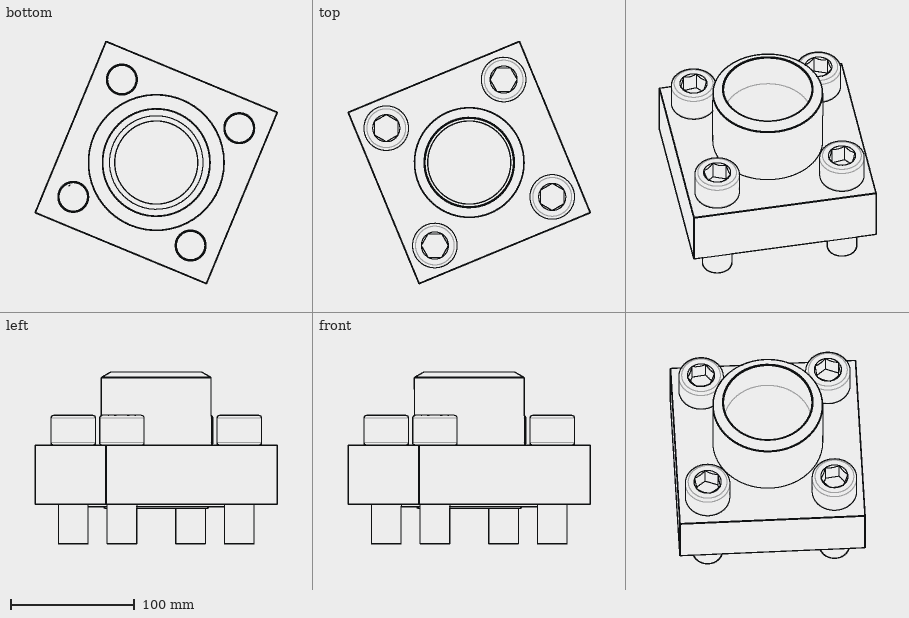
import cadquery as cq
import math

OVERALL_WIDTH = 195.6
TURN_ANGLE = 22.5
QUARTER_TURN = 90.0

PLATE_THICKNESS = 48.0
EDGE_CHAMFER = 0.5
TURN = math.radians(TURN_ANGLE)
PLATE_SIDE = (OVERALL_WIDTH + 2 * EDGE_CHAMFER * math.sin(TURN)) / (math.cos(TURN) + math.sin(TURN))

NECK_DIAMETER = 88.8
NECK_HEIGHT = 59.0
BEVEL_TOP_DIAMETER = 73.2
BEVEL_ANGLE = 30.0
BEVEL_HEIGHT = (NECK_DIAMETER - BEVEL_TOP_DIAMETER) / 2 * math.tan(math.radians(BEVEL_ANGLE))

BORE_TOP_DIAMETER = 71.2
BORE_BOTTOM_DIAMETER = 67.0
STRAIGHT_BORE_DEPTH = 30.0

FACE_DIAMETER = 110.0
FACE_HEIGHT = 2.2

RING_SECTION = 5.3
RING_INNER_DIAMETER = 75.5
RING_PROTRUSION = 1.2
GROOVE_OUTER_DIAMETER = 87.3
GROOVE_DEPTH = RING_SECTION - RING_PROTRUSION

SCREW_COUNT = 4
SCREW_CIRCLE_DIAMETER = 145.0
FIRST_SCREW_ANGLE = TURN_ANGLE + QUARTER_TURN / 2
SCREW_DIAMETER = 24.0
SCREW_HOLE_DIAMETER = 25.0
SCREW_LENGTH = 80.0
TIP_CHAMFER = 0.5
HEAD_DIAMETER = 36.0
HEAD_HEIGHT = 24.0
HEAD_TOP_FILLET = 2.3
HEAD_FOOT_FILLET = 2.0
SOCKET_SIDES = 6
SOCKET_CORNER_DIAMETER = 22.0
SOCKET_DEPTH = 15.7
SOCKET_LEAD_ANGLE = 45.0

FACE_Z = -FACE_HEIGHT
NECK_TOP_Z = PLATE_THICKNESS + NECK_HEIGHT


def disc(diameter, bottom, height):
    """Upright cylinder on the Z axis."""
    return cq.Workplane("XY", origin=(0, 0, bottom)).circle(diameter / 2).extrude(height)


def revolve_profile(points):
    """Turn a closed (radius, Z) outline about the Z axis."""
    return cq.Workplane("XZ").polyline(points).close().revolve(360, (0, 0), (0, 1))


def screw_place(index):
    """Angle in degrees and the X, Y of one screw axis."""
    angle = FIRST_SCREW_ANGLE + index * QUARTER_TURN
    radius = SCREW_CIRCLE_DIAMETER / 2
    x = radius * math.cos(math.radians(angle))
    y = radius * math.sin(math.radians(angle))
    return angle, x, y


def make_plate():
    plate = cq.Workplane("XY").rect(PLATE_SIDE, PLATE_SIDE).extrude(PLATE_THICKNESS)
    return plate.edges().chamfer(EDGE_CHAMFER).rotate((0, 0, 0), (0, 0, 1), TURN_ANGLE)


def make_neck():
    neck_radius = NECK_DIAMETER / 2
    neck = revolve_profile([
        (0, 0),
        (neck_radius, 0),
        (neck_radius, NECK_TOP_Z - BEVEL_HEIGHT),
        (BEVEL_TOP_DIAMETER / 2, NECK_TOP_Z),
        (0, NECK_TOP_Z),
    ])
    bevel_foot = neck.edges(cq.selectors.RadiusNthSelector(-1)).edges(">Z")
    return bevel_foot.chamfer(EDGE_CHAMFER)


def make_bore():
    return revolve_profile([
        (0, FACE_Z),
        (BORE_BOTTOM_DIAMETER / 2, FACE_Z),
        (BORE_TOP_DIAMETER / 2, NECK_TOP_Z - STRAIGHT_BORE_DEPTH),
        (BORE_TOP_DIAMETER / 2, NECK_TOP_Z - EDGE_CHAMFER),
        (BORE_TOP_DIAMETER / 2 + EDGE_CHAMFER, NECK_TOP_Z),
        (0, NECK_TOP_Z),
    ])


def make_groove():
    outer = disc(GROOVE_OUTER_DIAMETER, FACE_Z, GROOVE_DEPTH)
    return outer.cut(disc(RING_INNER_DIAMETER, FACE_Z, GROOVE_DEPTH))


def make_flange():
    sealing_face = disc(FACE_DIAMETER, FACE_Z, FACE_HEIGHT).faces("<Z").chamfer(EDGE_CHAMFER)
    flange = make_plate().union(make_neck()).union(sealing_face)
    flange = flange.cut(make_bore()).cut(make_groove())
    for index in range(SCREW_COUNT):
        _, x, y = screw_place(index)
        flange = flange.cut(disc(SCREW_HOLE_DIAMETER, 0, PLATE_THICKNESS).translate((x, y, 0)))
    return flange


def make_ring():
    mean_radius = (RING_INNER_DIAMETER + RING_SECTION) / 2
    center_z = FACE_Z - RING_PROTRUSION + RING_SECTION / 2
    section = cq.Workplane("XZ").center(mean_radius, center_z).circle(RING_SECTION / 2)
    return section.revolve(360, (-mean_radius, 0), (-mean_radius, 1))


def make_socket():
    """Hexagon recess with a conical lead-in that just reaches the corners."""
    recess = (
        cq.Workplane("XY", origin=(0, 0, HEAD_HEIGHT))
        .polygon(SOCKET_SIDES, SOCKET_CORNER_DIAMETER)
        .extrude(-SOCKET_DEPTH)
    )
    rim = SOCKET_CORNER_DIAMETER / 2
    cone_depth = rim * math.tan(math.radians(SOCKET_LEAD_ANGLE))
    cone = revolve_profile([(0, HEAD_HEIGHT - cone_depth), (rim, HEAD_HEIGHT), (0, HEAD_HEIGHT)])
    return recess.union(cone)


def make_screw(index):
    """One socket head screw, seated on the plate top."""
    angle, x, y = screw_place(index)
    shank = disc(SCREW_DIAMETER, -SCREW_LENGTH, SCREW_LENGTH).faces("<Z").chamfer(TIP_CHAMFER)
    head = disc(HEAD_DIAMETER, 0, HEAD_HEIGHT)
    head = head.faces(">Z").edges().fillet(HEAD_TOP_FILLET)
    head = head.faces("<Z").edges().fillet(HEAD_FOOT_FILLET)
    screw = head.union(shank).cut(make_socket())
    hexagon_turn = angle - FIRST_SCREW_ANGLE
    return screw.rotate((0, 0, 0), (0, 0, 1), hexagon_turn).translate((x, y, PLATE_THICKNESS))


flange = make_flange()
sealing_ring = make_ring()
screws = [make_screw(index) for index in range(SCREW_COUNT)]

result = cq.Compound.makeCompound([
    flange.val(),
    sealing_ring.val(),
    *[screw.val() for screw in screws],
])